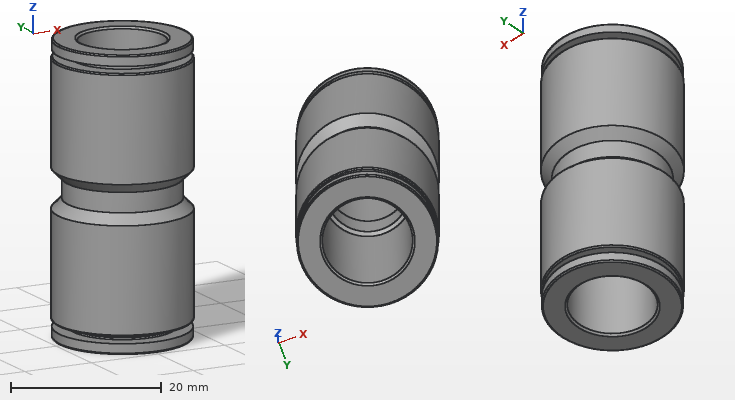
import cadquery as cq

length = 41.0
half_length = length / 2

collar_diameter = 18.8
collar_thickness = 1.5
collar_chamfer = 0.2
neck_diameter = 14.0
neck_flare = 0.2

body_diameter = 19.0
body_end_inset = 2.5
body_chamfer = 0.2

waist_diameter = 16.15
waist_width = 2.8
waist_depth = (body_diameter - waist_diameter) / 2

socket_diameter = 12.0
socket_depth = 18.0
mouth_chamfer = 0.3
passage_diameter = 11.0
seat_length = (socket_diameter - passage_diameter) / 2


def revolve_symmetric(upper_points):
    """Revolve (radius, z) points, listed upward, together with their mirror image below z = 0."""
    lower_points = [(radius, -z) for radius, z in reversed(upper_points)]
    end_z = upper_points[-1][1]
    profile = [(0, -end_z)] + lower_points + upper_points + [(0, end_z)]
    return cq.Workplane("XZ").polyline(profile).close().revolve(360, (0, 0), (0, 1))


def outside():
    """Body with its waist groove, and a necked release collar at each end."""
    collar_radius = collar_diameter / 2
    neck_radius = neck_diameter / 2
    body_radius = body_diameter / 2
    collar_bottom = half_length - collar_thickness
    body_top = half_length - body_end_inset
    waist_top = waist_width / 2
    return revolve_symmetric([
        (waist_diameter / 2, waist_top),
        (body_radius, waist_top + waist_depth),
        (body_radius, body_top - body_chamfer),
        (body_radius - body_chamfer, body_top),
        (neck_radius, body_top),
        (neck_radius, collar_bottom - neck_flare),
        (neck_radius + neck_flare, collar_bottom),
        (collar_radius, collar_bottom),
        (collar_radius, half_length - collar_chamfer),
        (collar_radius - collar_chamfer, half_length),
    ])


def bore():
    """Central passage with a conical seat, a socket and a flared mouth at each end."""
    socket_radius = socket_diameter / 2
    socket_bottom = half_length - socket_depth
    return revolve_symmetric([
        (passage_diameter / 2, socket_bottom - seat_length),
        (socket_radius, socket_bottom),
        (socket_radius, half_length - mouth_chamfer),
        (socket_radius + mouth_chamfer, half_length),
    ])


result = outside().cut(bore())